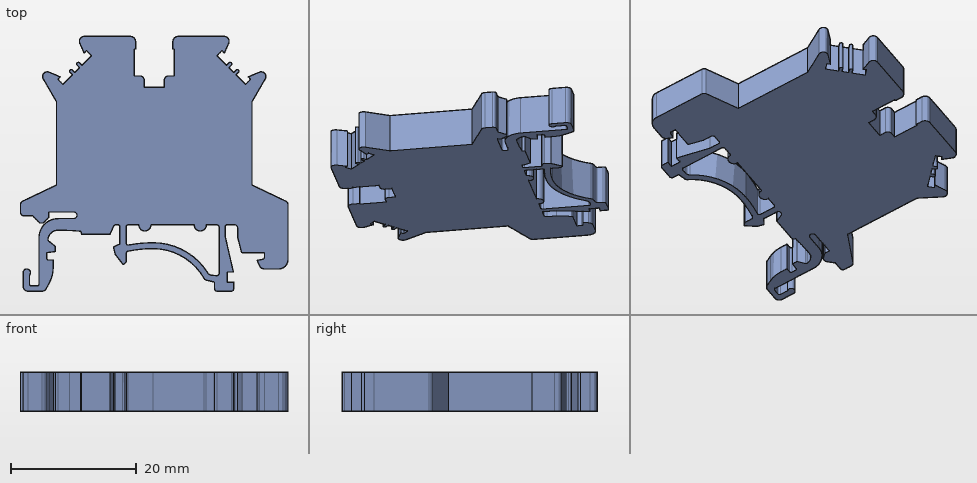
import cadquery as cq
import math


thickness = 6.2
half_width = 21.25
height = 40.5
axis_to_side = 15.55
shoulder_y = 12.6
rail_face_y = 10.55
arm_thickness = 0.98
taper_y = 8.63
post_width = 1.05


def round_corners(solid, rounds):
    """Fillet the upright edges given as (x, y, radius)."""
    for x, y, radius in rounds:
        nearest = cq.NearestToPointSelector((x, y, thickness / 2))
        solid = solid.edges("|Z").edges(nearest).fillet(radius)
    return solid


def prism(corners):
    """Extrude a closed polygon; a corner (x, y, radius) is rounded."""
    outline = [corner[:2] for corner in corners]
    solid = cq.Workplane("XY").polyline(outline).close().extrude(thickness)
    return round_corners(solid, [corner for corner in corners if len(corner) == 3])


def cylinder(x, y, radius):
    return cq.Workplane("XY").center(x, y).circle(radius).extrude(thickness)


seat_x, seat_y = -12.25, 35.15
seat_angle = 45
seat_length = 6.4
seat_depth = 1.1
seat_mouth = 5.3
nub_width = 0.55
nub_height = 0.8
nub_spacing = 1.6


def place_in_seat(shape):
    """Move a shape drawn with the seat floor on the X axis into the sloping seat."""
    return shape.rotate((0, 0, 0), (0, 0, 1), seat_angle).translate((seat_x, seat_y, 0))


def seat_point(along, outward):
    """Point measured along the seat floor from its middle, and outward from it."""
    cosine = math.cos(math.radians(seat_angle))
    sine = math.sin(math.radians(seat_angle))
    return (seat_x + along * cosine - outward * sine, seat_y + along * sine + outward * cosine)


def marker_seat():
    pocket = (
        cq.Workplane("XY").center(0, seat_depth / 2)
        .rect(seat_length, seat_depth)
        .extrude(thickness)
    )
    return place_in_seat(pocket)


def seat_nub(along):
    nub = (
        cq.Workplane("XY").center(along, 0)
        .slot2D(2 * nub_height, nub_width, 90)
        .extrude(thickness)
    )
    return place_in_seat(nub)


def upper_half():
    notch_floor, notch_half = 32.43, 1.57
    step_y, slot_half = 34.2, 3.15
    ear_edge_y, ear_edge_half = 38.45, 2.95
    shoulder_end_y, shoulder_root_y = 14.15, 16.87
    horn_root_y = 30.15
    horn_tip = (-18.8, 35.7)
    horn_radius, ear_radius = 0.75, 0.8
    ear_tip_x = -12.32
    half = prism([
        (0, shoulder_y),
        (-half_width, shoulder_y),
        (-half_width, shoulder_end_y, 0.65),
        (-axis_to_side, shoulder_root_y),
        (-axis_to_side, horn_root_y),
        (*horn_tip, horn_radius),
        seat_point(-seat_mouth / 2, seat_depth),
        seat_point(seat_mouth / 2, seat_depth),
        (ear_tip_x, height, ear_radius),
        (-ear_edge_half, height, 0.95),
        (-ear_edge_half, ear_edge_y),
        (-slot_half, ear_edge_y),
        (-slot_half, step_y),
        (-notch_half, step_y, 0.72),
        (-notch_half, notch_floor),
        (0, notch_floor),
    ])
    half = half.cut(marker_seat())
    for side in (-1, 1):
        half = half.union(seat_nub(side * nub_spacing / 2))
    return half


def left_wing():
    wing_y, catch_y = 12.0, 10.85
    catch_right_x = -16.75
    return prism([
        (-half_width, shoulder_y),
        (-half_width, wing_y, 0.5),
        (-19.35, wing_y),
        (-18.2, catch_y),
        (-17.6, catch_y),
        (catch_right_x, 11.75),
        (catch_right_x, shoulder_y),
    ])


slot_y = 11.55
slot_end_x = -12.3
post_left_x = -5.5


def hook():
    leg_x = -18.3
    curl_inner, curl_outer = -19.8, -20.82
    curl_floor, curl_tip_y = 0.9, 2.98
    toe_x, nose_x, catch_x = -16.02, -15.7, -17.05
    pad_y = 9.05
    groove_floor_y, groove_top_y = 4.97, 6.1
    curl_tip_radius = 0.6
    leg = prism([
        (post_left_x, slot_y),
        (leg_x, slot_y, 3.05),
        (leg_x, curl_floor, 0.25),
        (curl_inner, curl_floor, 0.25),
        (curl_inner, curl_tip_y),
        (curl_outer, curl_tip_y),
        (curl_outer, 0, 0.8),
        (-17.35, 0, 0.85),
        (toe_x, 2.55, 5.1),
        (toe_x, groove_floor_y),
        (catch_x, groove_floor_y, 0.25),
        (catch_x, groove_top_y),
        (nose_x, 6.3),
        (nose_x, 7.15, 0.15),
        (-16.87, 8.08, 0.25),
        (-16.7, 9.7, 1.55),
        (-13.45, 9.65),
        (-11.7, 9.5),
        (-11.5, pad_y),
        (-7.0, pad_y),
        (-6.35, rail_face_y, 0.35),
        (post_left_x, rail_face_y),
    ])
    curl_tip = cylinder(curl_outer + curl_tip_radius, curl_tip_y, curl_tip_radius)
    return leg.union(curl_tip)


def base_band():
    slot_radius = (shoulder_y - slot_y) / 2
    start_x = slot_end_x - slot_radius
    band = prism([
        (start_x, shoulder_y),
        (start_x, slot_y),
        (post_left_x, slot_y),
        (post_left_x, rail_face_y),
        (half_width, rail_face_y),
        (half_width, shoulder_y),
    ])
    return band.cut(cylinder(start_x, slot_y + slot_radius, slot_radius))


skirt_x = 13.2


def right_skirt():
    ledge_y, lip_y, bottom_y = 6.1, 5.15, 3.53
    lip_root_x = 17.45
    return prism([
        (skirt_x, rail_face_y),
        (skirt_x, taper_y),
        (13.85, ledge_y, 0.2),
        (lip_root_x, ledge_y),
        (lip_root_x, lip_y, 0.25),
        (16.3, lip_y - 0.2),
        (16.9, bottom_y, 0.95),
        (half_width, bottom_y, 1.55),
        (half_width, rail_face_y),
    ])


crown_x, crown_y = -0.2, 6.75
left_radius = 19.55
right_radius = 9.35
post_right_x = post_left_x + post_width
window_right_x = 10.3
clip_post_x = 11.3


def arc_point(x, radius, offset):
    """Point at x on an arc through the crown, raised outward by offset."""
    outer = radius + offset
    center_y = crown_y - radius
    return (x, center_y + math.sqrt(outer**2 - (x - crown_x)**2))


def arm_curve(path, right_x, offset):
    """Draw the arm curve from the prong over the crown to right_x."""
    left_x = post_right_x
    return (
        path.lineTo(*arc_point(left_x, left_radius, offset))
        .threePointArc(
            arc_point((left_x + crown_x) / 2, left_radius, offset),
            (crown_x, crown_y + offset),
        )
        .threePointArc(
            arc_point((crown_x + right_x) / 2, right_radius, offset),
            arc_point(right_x, right_radius, offset),
        )
    )


def spring_clip():
    heel_x, foot_x, groove_x = 9.55, 12.62, 11.6
    foot_y, groove_y = 1.45, 3.05
    arm_end_x = 8.05
    prong_nose = (-6.5, 7.05)
    prong_tip = (-4.9, 4.15)
    prong = [(post_left_x, 7.52), prong_nose, (-6.2, 5.85), prong_tip, (post_right_x, 4.7)]
    path = cq.Workplane("XY").moveTo(post_left_x, rail_face_y)
    for point in prong:
        path = path.lineTo(*point)
    path = arm_curve(path, arm_end_x, 0)
    foot = [
        (heel_x, foot_y),
        (heel_x, 0),
        (foot_x, 0),
        (foot_x, foot_y),
        (groove_x, foot_y),
        (groove_x, groove_y),
        (12.6, groove_y),
        (clip_post_x, taper_y),
        (clip_post_x, rail_face_y),
    ]
    for point in foot:
        path = path.lineTo(*point)
    arm_start = arc_point(post_right_x, left_radius, 0)
    arm_end = arc_point(arm_end_x, right_radius, 0)
    return round_corners(path.close().extrude(thickness), [
        (*prong_nose, 0.25),
        (*prong_tip, 0.2),
        (*arm_start, 0.3),
        (*arm_end, 0.5),
        (heel_x, foot_y, 0.13),
        (heel_x, 0, 0.42),
        (foot_x, 0, 0.4),
    ])


def clip_window():
    floor_y = 2.45
    valley_x = 8.7
    path = cq.Workplane("XY").moveTo(post_right_x, rail_face_y)
    path = arm_curve(path, valley_x, arm_thickness)
    valley = arc_point(valley_x, right_radius, arm_thickness)
    window = (
        path.lineTo(window_right_x, floor_y)
        .lineTo(window_right_x, rail_face_y)
        .close().extrude(thickness)
    )
    return round_corners(window, [
        (post_right_x, rail_face_y, 0.25),
        (*arc_point(post_right_x, left_radius, arm_thickness), 0.25),
        (*valley, 0.75),
        (window_right_x, floor_y, 0.4),
        (window_right_x, rail_face_y, 0.4),
    ])


def rail_ribs():
    """Half-round ribs on the rail face inside the window."""
    rib_radius = 0.98
    first_x, spacing = -1.5, 8.8
    ribs = cylinder(first_x, rail_face_y, rib_radius)
    return ribs.union(cylinder(first_x + spacing, rail_face_y, rib_radius))


left_half = upper_half()
housing = left_half.union(left_half.mirror("YZ"))
for piece in (left_wing(), base_band(), hook(), right_skirt(), spring_clip()):
    housing = housing.union(piece)
housing = housing.cut(clip_window()).union(rail_ribs()).clean()

result = round_corners(housing, [
    (post_left_x, rail_face_y, 0.25),
    (clip_post_x, rail_face_y, 0.2),
    (skirt_x, rail_face_y, 0.42),
])